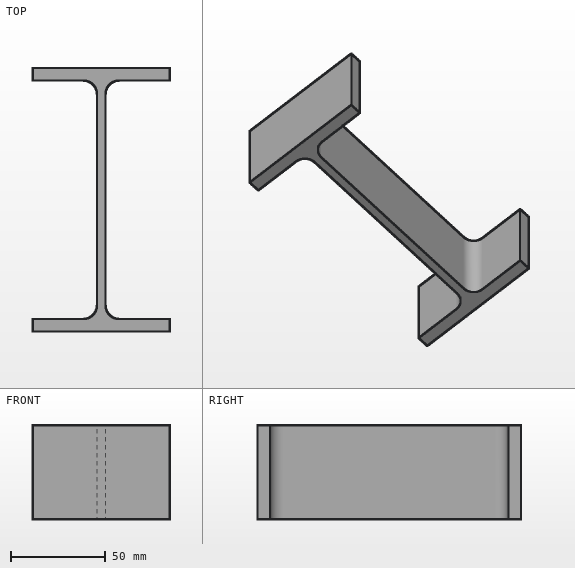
import cadquery as cq

section_depth = 140.0
flange_width = 73.0
beam_length = 50.0
flange_thickness = 6.9
web_thickness = 4.8
root_radius = 7.0


def flange(side):
    """Flange plate on the +Y (side = 1) or -Y (side = -1) end of the web."""
    center_y = side * (section_depth - flange_thickness) / 2
    return (
        cq.Workplane("XY")
        .center(0, center_y)
        .rect(flange_width, flange_thickness)
        .extrude(beam_length)
    )


web = cq.Workplane("XY").rect(web_thickness, section_depth).extrude(beam_length)
beam = web.union(flange(1)).union(flange(-1))

root_corners = cq.selectors.BoxSelector(
    (-web_thickness, -section_depth / 2, 0),
    (web_thickness, section_depth / 2, beam_length),
)
result = beam.edges("|Z").edges(root_corners).fillet(root_radius)